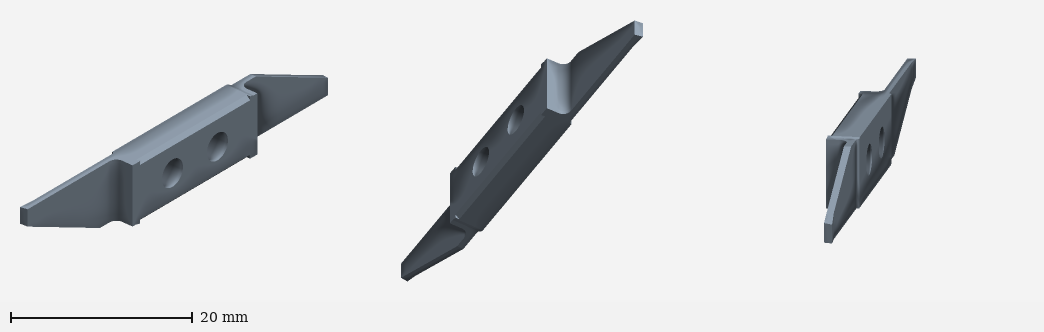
import cadquery as cq
import math


thickness = 3.6
length = 50.5
height = 8.0

body_half_length = 10.4
hole_diameter = 3.5
hole_spacing = 7.5

blade_setback = 0.3
blade_thickness = 0.8
blade_root_radius = 1.0
shoulder_outer_y = 10.0
blade_step = 0.15
step_outer_y = 9.8
step_inner_y = 9.35

taper_start_y = 13.0
taper_angle = 25.0
tip_length = 1.9
tip_flare = 0.15
tip_relief_angle = 12.0

back_bevel = 0.5
back_bevel_length = 18.4

half_length = length / 2
half_height = height / 2
half_turn = 180


def about_x(y, z):
    """Turn a (y, z) point half a turn about the X axis."""
    return (-y, -z)


def make_plan_half():
    """Full-height prism of the body and blade on the +Y side."""
    blade_back = blade_setback + blade_thickness
    shoulder_inner_y = shoulder_outer_y - blade_setback
    shoulder_arc_offset = blade_setback * math.sqrt(0.5)
    tip_face_x = blade_setback - tip_flare
    tip_relief = (blade_back - tip_face_x) * math.tan(math.radians(tip_relief_angle))
    arc_drop = blade_root_radius * (1 - math.sqrt(0.5))
    return (
        cq.Workplane("XY")
        .workplane(offset=-half_height)
        .moveTo(0, 0)
        .lineTo(0, shoulder_inner_y)
        .threePointArc(
            (shoulder_arc_offset, shoulder_outer_y - shoulder_arc_offset),
            (blade_setback, shoulder_outer_y),
        )
        .lineTo(blade_setback, half_length - tip_length)
        .lineTo(tip_face_x, half_length)
        .lineTo(blade_back, half_length - tip_relief)
        .lineTo(blade_back, body_half_length + blade_root_radius)
        .threePointArc(
            (blade_back + arc_drop, body_half_length + arc_drop),
            (blade_back + blade_root_radius, body_half_length),
        )
        .lineTo(thickness, body_half_length)
        .lineTo(thickness, 0)
        .close()
        .extrude(height)
    )


def make_side_prism():
    """Side outline with tapered blades, extruded through the thickness."""
    blade_top = half_height - blade_step
    taper_drop = (half_length - taper_start_y) * math.tan(math.radians(taper_angle))
    half_outline = [
        (step_inner_y, half_height),
        (step_outer_y, blade_top),
        (taper_start_y, blade_top),
        (half_length, blade_top - taper_drop),
        (half_length, -half_height),
    ]
    outline = half_outline + [about_x(y, z) for y, z in half_outline]
    return cq.Workplane("YZ").polyline(outline).close().extrude(thickness)


def make_back_bevel():
    """Cutter for the bevel on the upper edge of the back face."""
    return (
        cq.Workplane("XZ")
        .workplane(offset=-back_bevel_length / 2)
        .polyline([
            (thickness - back_bevel, half_height),
            (thickness, half_height),
            (thickness, half_height - back_bevel),
        ])
        .close()
        .extrude(back_bevel_length)
    )


def turn_about_x(shape):
    """Copy a shape half a turn about the X axis."""
    return shape.rotate((0, 0, 0), (1, 0, 0), half_turn)


def make_holes():
    """Two cylinders through the body along X."""
    return (
        cq.Workplane("YZ")
        .rarray(hole_spacing, 1, 2, 1)
        .circle(hole_diameter / 2)
        .extrude(thickness)
    )


plan_half = make_plan_half()
plan = plan_half.union(turn_about_x(plan_half))
blank = plan.intersect(make_side_prism())

bevel = make_back_bevel()
result = blank.cut(bevel).cut(turn_about_x(bevel)).cut(make_holes())